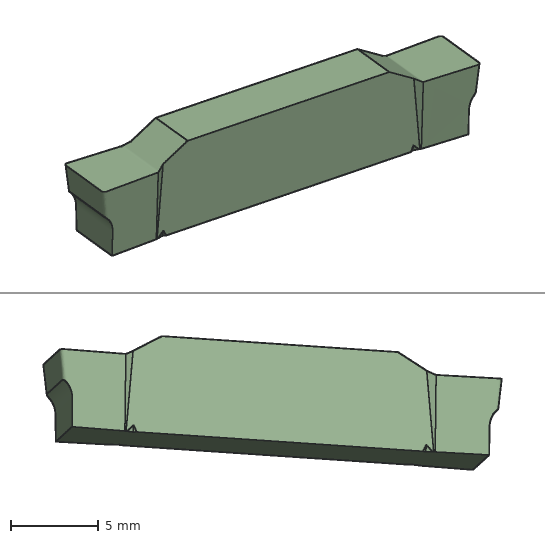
import cadquery as cq
import math

length = 26.25
height = 5.78
body_width = 3.23

head_width = 4.02
head_back_width = 3.7
head_height = 4.52
side_relief = 0.197
head_back_y = 9.22
flare_end_y = 8.75
corner_radius = 0.2

crown_y = 7.0
ramp_angle = 30.0
ramp_foot_radius = 0.32
front_base_y = 12.4
lip_base_y = 12.95
lip_base_z = 2.75
neck_z = 1.65

notch_apex_y = 8.7
notch_inner_y = 8.5
notch_outer_y = 9.09
notch_height = 0.4
notch_depth = 0.092

tip_y = length / 2
body_half = body_width / 2
ramp_foot_y = crown_y + (height - head_height) / math.tan(math.radians(ramp_angle))


def neck_midpoint():
    """Middle of the neck arc, which runs tangent into the vertical front."""
    run = lip_base_y - front_base_y
    rise = lip_base_z - neck_z
    radius = (run**2 + rise**2) / (2 * run)
    half_angle = math.asin(rise / radius) / 2
    return (
        front_base_y + radius * (1 - math.cos(half_angle)),
        neck_z + radius * math.sin(half_angle),
    )


def half_profile(overhang):
    """Lengthwise section from the middle to one tip, extruded across X."""
    profile = (
        cq.Workplane("YZ")
        .moveTo(0, 0)
        .lineTo(front_base_y, 0)
        .lineTo(front_base_y, neck_z)
        .threePointArc(neck_midpoint(), (lip_base_y, lip_base_z))
        .lineTo(tip_y, head_height)
        .lineTo(ramp_foot_y, head_height)
        .lineTo(crown_y, height)
        .lineTo(0, height)
        .close()
        .extrude(overhang, both=True)
    )
    ramp_foot = cq.selectors.NearestToPointSelector((0, ramp_foot_y, head_height))
    return profile.edges(ramp_foot).fillet(ramp_foot_radius)


def plan_section(z):
    """Plan outline of one flared head at height z, with leaning sides and front."""
    lean = side_relief * (1 - z / head_height)
    back_half = head_back_width / 2 - lean
    tip_half = head_width / 2 - lean
    flare_slope = (head_back_y - flare_end_y) / (head_back_width / 2 - body_half)
    body_y = head_back_y - flare_slope * (back_half - body_half)
    front_slope = (tip_y - lip_base_y) / (head_height - lip_base_z)
    front_y = tip_y + front_slope * (z - head_height)
    right_side = [(body_half, body_y), (back_half, head_back_y), (tip_half, front_y)]
    left_side = [(-x, y) for x, y in reversed(right_side)]
    return cq.Wire.makePolygon([cq.Vector(x, y, z) for x, y in right_side + left_side], close=True)


def head_envelope():
    """Tapered head with rounded nose corners, before its profile is cut."""
    sections = [plan_section(0), plan_section(height)]
    envelope = cq.Workplane(cq.Solid.makeLoft(sections, True))
    nose_corners = envelope.faces(">Y").edges("not #Z")
    return nose_corners.fillet(corner_radius)


def notch():
    """Triangular pyramid that breaks the lower edge of the body on the +X side."""
    outer = body_half
    base = [
        cq.Vector(outer, notch_inner_y, 0),
        cq.Vector(outer, notch_outer_y, 0),
        cq.Vector(outer - notch_depth, notch_apex_y, 0),
    ]
    apex = cq.Vector(outer, notch_apex_y, notch_height)
    triangles = [base] + [[base[i], base[(i + 1) % 3], apex] for i in range(3)]
    faces = [cq.Face.makeFromWires(cq.Wire.makePolygon(t, close=True)) for t in triangles]
    return cq.Workplane(cq.Solid.makeSolid(cq.Shell.makeShell(faces)))


body_blank = cq.Workplane("XY").box(body_width, 2 * head_back_y, height, centered=(True, True, False))
half_body = half_profile(head_width).intersect(body_blank)
half_head = half_profile(head_width).intersect(head_envelope())
half_part = half_body.union(half_head)
half_part = half_part.cut(notch()).cut(notch().mirror("YZ"))

result = half_part.union(half_part.mirror("XZ")).clean()